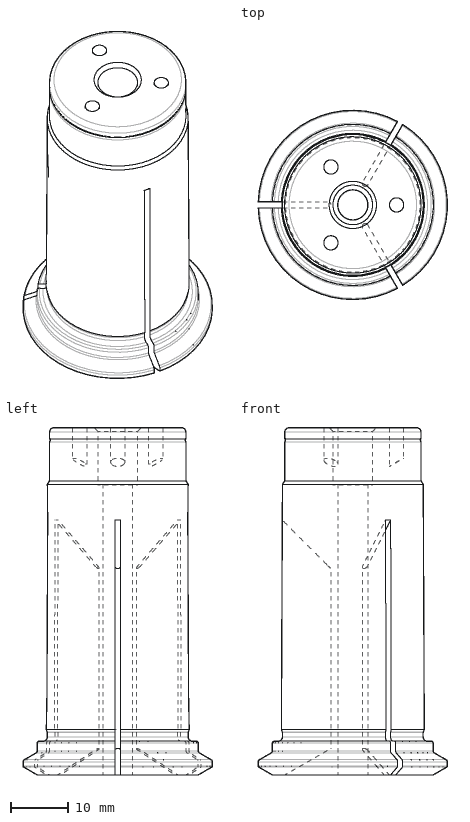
import cadquery as cq
import math

LENGTH = 60.5
FLANGE_RADIUS = 33.0 / 2

HEAD_RADIUS = 23.8 / 2
HEAD_FACE_RADIUS = 22.2 / 2
HEAD_ROUNDING = HEAD_RADIUS - HEAD_FACE_RADIUS
HEAD_GROOVE_TOP = 58.55
HEAD_GROOVE_HEIGHT = 0.6
HEAD_GROOVE_DEPTH = 0.2

SHOULDER_TOP = 51.25
SHOULDER_HEIGHT = 0.6
BODY_TOP_RADIUS = 12.3
BODY_BOTTOM_RADIUS = 12.45
BODY_BOTTOM = 7.9

NECK_RADIUS = 12.3
NECK_CHAMFER_HEIGHT = 0.5
NECK_FILLET = 0.7
NECK_TOP_FILLET = 0.25

COLLAR_RADIUS = 14.05
COLLAR_TOP = 5.9
COLLAR_ROUNDING = 0.35
COLLAR_BOTTOM = 4.0
FLANGE_GRADIENT = math.tan(math.radians(30))
FLANGE_RIM_BOTTOM = 1.45
FLANGE_ROUNDING = 0.4
RIM_BOTTOM_ROUNDING = 0.2
FLANGE_RIM_TOP = COLLAR_BOTTOM - (FLANGE_RADIUS - COLLAR_RADIUS) * FLANGE_GRADIENT
FLANGE_BOTTOM_RADIUS = FLANGE_RADIUS - FLANGE_RIM_BOTTOM / FLANGE_GRADIENT

HOLE_DIAMETER = 5.2
COUNTERBORE_DIAMETER = 6.9
COUNTERBORE_DEPTH = 10.0
COUNTERSINK_DIAMETER = 8.2

PORT_COUNT = 3
PORT_DIAMETER = 2.5
PORT_CIRCLE_RADIUS = 7.6
PORT_DEPTH = 6.05
PORT_FLOOR_SLOPE = 30.0

SLOT_COUNT = 3
SLOT_WIDTH = 1.0
SLOT_TOP = 44.4
SLOT_ROOF_BOTTOM = 35.95
SLOT_FLOOR_RADIUS = BODY_TOP_RADIUS - (SLOT_TOP - SLOT_ROOF_BOTTOM)
SLOT_RAMP_TOP = 4.65
SLOT_RAMP_SLOPE = 30.0
SLOT_EXIT_RADIUS = SLOT_FLOOR_RADIUS + SLOT_RAMP_TOP / math.tan(math.radians(SLOT_RAMP_SLOPE))

CUT_CLEARANCE = 0.6


def rounded_corner(before, corner, after, radius):
    """Start, middle and end of the arc that rounds a corner of an outline."""
    corner = cq.Vector(*corner)
    to_before = (cq.Vector(*before) - corner).normalized()
    to_after = (cq.Vector(*after) - corner).normalized()
    half_angle = to_before.getAngle(to_after) / 2
    tangent_length = radius / math.tan(half_angle)
    center_distance = radius / math.sin(half_angle)
    bisector = (to_before + to_after).normalized()
    start = corner + to_before * tangent_length
    middle = corner + bisector * (center_distance - radius)
    end = corner + to_after * tangent_length
    return start, middle, end


def revolve_outline(corners):
    """Revolve a closed outline of (radius, height, rounding) corners around Z."""
    points = [corner[:2] for corner in corners]
    outline = cq.Workplane("XZ").moveTo(*points[0])
    for index in range(1, len(corners)):
        rounding = corners[index][2]
        if rounding:
            after = points[(index + 1) % len(points)]
            start, middle, end = rounded_corner(points[index - 1], points[index], after, rounding)
            outline = outline.lineTo(start.x, start.y)
            outline = outline.threePointArc((middle.x, middle.y), (end.x, end.y))
        else:
            outline = outline.lineTo(*points[index])
    return outline.close().revolve(360, (0, 0, 0), (0, 1, 0))


def make_sleeve():
    return revolve_outline(
        [
            (0, 0, 0),
            (FLANGE_BOTTOM_RADIUS, 0, 0),
            (FLANGE_RADIUS, FLANGE_RIM_BOTTOM, RIM_BOTTOM_ROUNDING),
            (FLANGE_RADIUS, FLANGE_RIM_TOP, FLANGE_ROUNDING),
            (COLLAR_RADIUS, COLLAR_BOTTOM, FLANGE_ROUNDING),
            (COLLAR_RADIUS, COLLAR_TOP, COLLAR_ROUNDING),
            (NECK_RADIUS, COLLAR_TOP, NECK_FILLET),
            (NECK_RADIUS, BODY_BOTTOM - NECK_CHAMFER_HEIGHT, NECK_TOP_FILLET),
            (BODY_BOTTOM_RADIUS, BODY_BOTTOM, 0),
            (BODY_TOP_RADIUS, SHOULDER_TOP - SHOULDER_HEIGHT, 0),
            (HEAD_RADIUS, SHOULDER_TOP, 0),
            (HEAD_RADIUS, HEAD_GROOVE_TOP - HEAD_GROOVE_HEIGHT, 0),
            (HEAD_RADIUS - HEAD_GROOVE_DEPTH, HEAD_GROOVE_TOP, 0),
            (HEAD_RADIUS, HEAD_GROOVE_TOP, 0),
            (HEAD_RADIUS, LENGTH, HEAD_ROUNDING),
            (0, LENGTH, 0),
        ]
    )


def make_bore():
    countersink_depth = (COUNTERSINK_DIAMETER - COUNTERBORE_DIAMETER) / 2
    return revolve_outline(
        [
            (0, 0, 0),
            (HOLE_DIAMETER / 2, 0, 0),
            (HOLE_DIAMETER / 2, LENGTH - COUNTERBORE_DEPTH, 0),
            (COUNTERBORE_DIAMETER / 2, LENGTH - COUNTERBORE_DEPTH, 0),
            (COUNTERBORE_DIAMETER / 2, LENGTH - countersink_depth, 0),
            (COUNTERSINK_DIAMETER / 2, LENGTH, 0),
            (0, LENGTH, 0),
        ]
    )


def make_port():
    hole = (
        cq.Workplane("XY")
        .center(PORT_CIRCLE_RADIUS, 0)
        .circle(PORT_DIAMETER / 2)
        .extrude(LENGTH)
    )
    floor_gradient = math.tan(math.radians(PORT_FLOOR_SLOPE))
    floor_center = LENGTH - PORT_DEPTH - PORT_CIRCLE_RADIUS * floor_gradient
    above_floor = revolve_outline(
        [
            (0, floor_center, 0),
            (HEAD_RADIUS, floor_center + HEAD_RADIUS * floor_gradient, 0),
            (HEAD_RADIUS, LENGTH, 0),
            (0, LENGTH, 0),
        ]
    )
    return hole.intersect(above_floor)


def make_slot():
    outer = FLANGE_RADIUS + CUT_CLEARANCE
    round_start = SLOT_FLOOR_RADIUS + SLOT_WIDTH / 2
    side = (
        cq.Workplane("XZ")
        .moveTo(-outer, 0)
        .lineTo(-SLOT_EXIT_RADIUS, 0)
        .lineTo(-SLOT_FLOOR_RADIUS, SLOT_RAMP_TOP)
        .lineTo(-SLOT_FLOOR_RADIUS, SLOT_ROOF_BOTTOM)
        .lineTo(-outer, SLOT_TOP + outer - BODY_TOP_RADIUS)
        .close()
        .extrude(SLOT_WIDTH / 2, both=True)
    )
    plan = (
        cq.Workplane("XY")
        .moveTo(-outer, -SLOT_WIDTH / 2)
        .lineTo(-round_start, -SLOT_WIDTH / 2)
        .threePointArc((-SLOT_FLOOR_RADIUS, 0), (-round_start, SLOT_WIDTH / 2))
        .lineTo(-outer, SLOT_WIDTH / 2)
        .close()
        .extrude(LENGTH)
    )
    return side.intersect(plan)


def cut_around(body, tool, count):
    for index in range(count):
        body = body.cut(tool.rotate((0, 0, 0), (0, 0, 1), index * 360 / count))
    return body


result = make_sleeve().cut(make_bore())
result = cut_around(result, make_port(), PORT_COUNT)
result = cut_around(result, make_slot(), SLOT_COUNT)